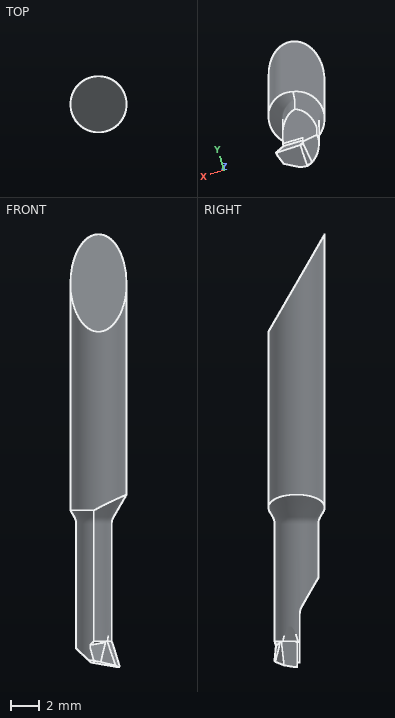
import cadquery as cq
import math

length = 30.7
shank_radius = 2.0
end_face_angle = 30.0
neck_radius = 1.6
neck_offset = 0.65
cone_base_z = 10.45
cone_angle = 30.0
cone_fillet = 0.85
cone_top_radius = 4.3

flat_y = 0.25
flat_run_out_z = 4.08
flat_run_out_angle = 30.0
flat_fillet = 1.0

rake_y = 0.05
tooth_x = 1.5
nose_x = 1.45
nose_z = 0.1
heel_x = -0.52
heel_z = 0.35
bevel_z = 1.35
root_x = 0.98
root_z = 1.78
side_relief_angle = 16.0
bottom_relief_angle = 6.0

tip_left_low_x = -0.3
tip_left_low_z = 0.37
tip_left_high_x = -0.58
tip_left_high_z = 1.38
tip_corner_z = 1.6
tip_top_x = -0.35
tip_top_z = 1.85

flank_tilt_y = 0.3
flank_tilt_z = 0.1

roof_normal = (0.4, -1, -1)
inner_facet_slope_z = 0.2
outer_facet_slope_z = 0.1
inner_facet_slope_x = 0.2
outer_facet_slope_x = 0.61
facet_y = -1.5
crease_low_x = 0.15
crease_low_z = 0.37

cutter_size = 18.43


def half_space(point, outward):
    """Large block on the outward side of the plane through a point."""
    plane = cq.Plane(origin=point, normal=outward)
    return cq.Workplane(plane).rect(cutter_size, cutter_size).extrude(cutter_size)


def neck_form(center_x):
    """Round neck, filleted into a cone that widens toward the shank."""
    slope = math.radians(cone_angle)
    tangent = cone_fillet * math.tan(slope / 2)
    arc_top = (neck_radius + tangent * math.sin(slope), cone_base_z + tangent * math.cos(slope))
    cone_top_z = cone_base_z + (cone_top_radius - neck_radius) / math.tan(slope)
    profile = (
        cq.Workplane("XZ", origin=(center_x, 0, 0))
        .lineTo(neck_radius, 0)
        .lineTo(neck_radius, cone_base_z - tangent)
        .tangentArcPoint(arc_top, relative=False)
        .lineTo(cone_top_radius, cone_top_z)
        .lineTo(cone_top_radius, length)
        .lineTo(0, length)
        .close()
    )
    return profile.revolve(360, (0, 0, 0), (0, 1, 0))


def shank_and_neck():
    """Round blank trimmed to the two neck arcs and to the slanted top face."""
    slope = math.radians(end_face_angle)
    blank = cq.Workplane("XY").circle(shank_radius).extrude(length)
    blank = blank.intersect(neck_form(0)).intersect(neck_form(-neck_offset))
    top_normal = (0, -math.cos(slope), math.sin(slope))
    return blank.cut(half_space((0, shank_radius, length), top_normal))


def back_flat_cutter():
    """Removes the +Y side of the neck, running out on a filleted slope."""
    slope = math.radians(flat_run_out_angle)
    tangent = flat_fillet * math.tan(slope / 2)
    arc_end = (flat_y + tangent * math.sin(slope), flat_run_out_z + tangent * math.cos(slope))
    stop_y = neck_radius
    stop_z = flat_run_out_z + (stop_y - flat_y) / math.tan(slope)
    return (
        cq.Workplane("YZ", origin=(-cutter_size / 2, 0, 0))
        .moveTo(flat_y, 0)
        .lineTo(flat_y, flat_run_out_z - tangent)
        .tangentArcPoint(arc_end, relative=False)
        .lineTo(stop_y, stop_z)
        .lineTo(stop_y, 0)
        .close()
        .extrude(cutter_size)
    )


def end_profile_block():
    """Tooth and end bevel outline, carried through the full thickness."""
    bevel_slope = (bevel_z - heel_z) / (neck_radius + heel_x)
    bevel_outer_z = bevel_z + (shank_radius - neck_radius) * bevel_slope
    outline = [
        (-shank_radius, bevel_outer_z),
        (heel_x, heel_z),
        (nose_x, 0),
        (tooth_x, nose_z),
        (root_x, root_z),
        (shank_radius, root_z),
        (shank_radius, length),
        (-shank_radius, length),
    ]
    block = cq.Workplane("XZ").polyline(outline).close().extrude(shank_radius, both=True)
    relief = math.radians(bottom_relief_angle)
    edge_angle = math.atan2(heel_z, nose_x - heel_x)
    normal = (
        -math.sin(edge_angle) * math.cos(relief),
        -math.sin(relief),
        -math.cos(edge_angle) * math.cos(relief),
    )
    return block.cut(half_space((nose_x, rake_y, 0), normal))


def tip_blank():
    """Prism of the tip, with its side flank relieved."""
    outline = [
        (tip_left_low_x, 0),
        (tip_left_low_x, tip_left_low_z),
        (tip_left_high_x, tip_left_high_z),
        (tip_left_high_x, tip_corner_z),
        (tip_top_x, tip_top_z),
        (root_x - (tip_top_z - root_z), tip_top_z),
        (root_x, root_z),
        (tooth_x, nose_z),
        (tooth_x, 0),
    ]
    depth = rake_y + neck_radius
    blank = cq.Workplane("XZ", origin=(0, rake_y, 0)).polyline(outline).close().extrude(depth)
    flank_slope = math.radians(side_relief_angle)
    edge_angle = math.atan2(tooth_x - root_x, root_z - nose_z)
    normal = (
        math.cos(edge_angle) * math.cos(flank_slope),
        -math.sin(flank_slope),
        math.sin(edge_angle) * math.cos(flank_slope),
    )
    return blank.cut(half_space((tooth_x, rake_y, nose_z), normal))


def facet_cutter():
    """Trims the -Y side of the tip to two facets, the inner one ending under a slanted roof."""
    crease = (crease_low_x, facet_y, crease_low_z)
    inner = half_space(crease, (inner_facet_slope_x, -1, inner_facet_slope_z))
    outer = half_space(crease, (outer_facet_slope_x, -1, outer_facet_slope_z))
    roof = half_space((tip_top_x, -math.sqrt(neck_radius**2 - tip_top_x**2), tip_top_z), roof_normal)
    return inner.intersect(roof).union(outer)


def neck_flank_cutter():
    """Trims the neck to a slightly leaning flat above the tooth root."""
    outside = half_space((root_x, flat_y, root_z), (1, -flank_tilt_y, -flank_tilt_z))
    return outside.intersect(cq.Workplane("XY").circle(shank_radius).extrude(flat_run_out_z))


def rake_cutter():
    """Shallow recess that lowers the flat to the rake plane beside the cutting edge."""
    width = tooth_x - heel_x
    return cq.Workplane("XY").box(width, neck_radius, root_z, centered=False).translate((heel_x, rake_y, 0))


end_block = end_profile_block()
tip_prism = tip_blank().intersect(end_block)

cutting_tip = tip_prism.cut(facet_cutter())

bar = shank_and_neck().intersect(end_block)
bar = bar.cut(back_flat_cutter()).cut(rake_cutter())
bar = bar.cut(neck_flank_cutter()).cut(tip_prism)

result = cq.Compound.makeCompound([bar.val(), cutting_tip.val()])